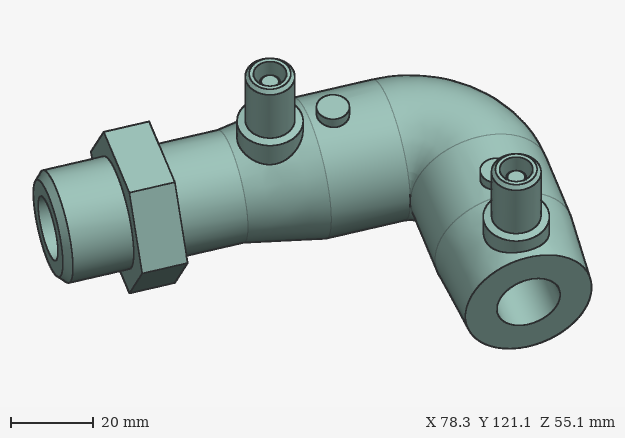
import cadquery as cq
import math

tube_dia = 35.0
bend_radius = tube_dia / 2
bore_dia = 16.0
straight_length = 20.0
taper_length = 20.0
outlet_dia = 32.0

spigot_dia = 28.0
neck_length = 17.3
hex_flats = 36.1
hex_length = 11.5
thread_length = 17.3
thread_chamfer = 1.9

port_top = 37.0
collar_edge_top = 20.1
collar_cone_top = 20.6
collar_dia = 16.0
post_dia = 12.0
post_chamfer = 1.0
socket_dia = 8.0
socket_depth = 10.0
pin_dia = 5.0
pin_chamfer = 0.4
pin_recess = 2.8
button_dia = 8.0
button_top = 20.0
button_offset = 14.0

buried_base = (bore_dia / 2 + spigot_dia / 2) / 2

straight_end = bend_radius + straight_length
taper_end = straight_end + taper_length
neck_end = taper_end + neck_length
hex_end = neck_end + hex_length
inlet_end = hex_end + thread_length


def leg(profile, axis):
    """Revolve (distance along axis, radius) points into a solid leg along 'X' or '-Y'."""
    solid = cq.Workplane("XY").polyline(profile).close().revolve(360, (0, 0), (1, 0))
    return solid if axis == "X" else solid.rotate((0, 0, 0), (0, 0, 1), -90)


def bend(diameter):
    """Quarter bend joining the two legs, with its centre at (bend_radius, -bend_radius)."""
    return (
        cq.Workplane("XZ", origin=(0, -bend_radius, 0))
        .circle(diameter / 2)
        .revolve(90, (bend_radius, 1.2), (bend_radius, 0))
    )


def upright(x, y, diameter, bottom, top):
    return cq.Workplane("XY", origin=(x, y, bottom)).circle(diameter / 2).extrude(top - bottom)


def port(x, y):
    """Collar with a shallow conical top, and a hollow post around a recessed pin."""
    outline = [
        (0, buried_base),
        (collar_dia / 2, buried_base),
        (collar_dia / 2, collar_edge_top),
        (post_dia / 2, collar_cone_top),
        (post_dia / 2, port_top - post_chamfer),
        (post_dia / 2 - post_chamfer, port_top),
        (0, port_top),
    ]
    body = cq.Workplane("XZ", origin=(x, y, 0)).polyline(outline).close().revolve(360, (0, 0), (0, 1))
    socket = upright(x, y, socket_dia, port_top - socket_depth, port_top)
    pin = upright(x, y, pin_dia, port_top - socket_depth, port_top - pin_recess)
    return body.cut(socket.cut(pin.faces(">Z").chamfer(pin_chamfer)))


def button(x, y):
    return upright(x, y, button_dia, buried_base, button_top)


outlet_leg = leg(
    [
        (bend_radius, 0),
        (bend_radius, tube_dia / 2),
        (straight_end, tube_dia / 2),
        (taper_end, outlet_dia / 2),
        (taper_end, 0),
    ],
    "X",
)
inlet_leg = leg(
    [
        (bend_radius, 0),
        (bend_radius, tube_dia / 2),
        (straight_end, tube_dia / 2),
        (taper_end, spigot_dia / 2),
        (inlet_end - thread_chamfer, spigot_dia / 2),
        (inlet_end, spigot_dia / 2 - thread_chamfer),
        (inlet_end, 0),
    ],
    "-Y",
)

hex_corners = hex_flats / math.cos(math.pi / 6)
hexagon = cq.Workplane("XZ", origin=(0, -neck_end, 0)).polygon(6, hex_corners).extrude(hex_length)

result = bend(tube_dia).union(outlet_leg).union(inlet_leg).union(hexagon)

port_distance = straight_end + taper_length / 2
button_distance = bend_radius + button_offset
for x_share, y_share in ((1, 0), (0, -1)):
    result = result.union(port(x_share * port_distance, y_share * port_distance))
    result = result.union(button(x_share * button_distance, y_share * button_distance))

bore_radius = bore_dia / 2
outlet_bore = leg([(bend_radius, 0), (bend_radius, bore_radius), (taper_end, bore_radius), (taper_end, 0)], "X")
inlet_bore = leg([(bend_radius, 0), (bend_radius, bore_radius), (inlet_end, bore_radius), (inlet_end, 0)], "-Y")
result = result.cut(bend(bore_dia).union(outlet_bore).union(inlet_bore))